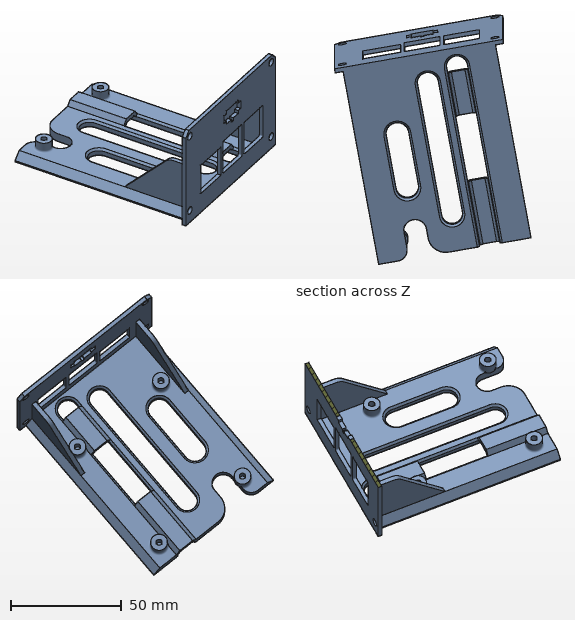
import cadquery as cq
import math

LENGTH = 93.0
PANEL_THICKNESS = 1.95
PLATE_LENGTH = LENGTH - PANEL_THICKNESS
PLATE_WIDTH = 70.1
PLATE_THICKNESS = 4.3
PLATE_EDGE_BEVEL = 3.5

PANEL_WIDTH = 77.4
PANEL_HEIGHT = 50.7
PANEL_CORNER_BEVEL = 2.8
SCREW_HOLE_DIAMETER = 3.6
SCREW_HOLE_SPACING = 70.1
SCREW_HOLE_HEIGHTS = (6.4, 47.0)

WINDOW_SILL = 10.3
ROUNDED_WINDOW_WIDTH = 16.4
ROUNDED_WINDOW_HEIGHT = 17.4
ROUNDED_WINDOW_CENTRES_Y = (19.7, 1.6)
WINDOW_CORNER_RADIUS = 0.7
SQUARE_WINDOW_WIDTH = 17.5
SQUARE_WINDOW_HEIGHT = 15.3
SQUARE_WINDOW_CENTRE_Y = -17.0

CONNECTOR_CENTRE_Y = 1.6
CONNECTOR_CENTRE_Z = 39.1
CONNECTOR_BODY = (9.95, 7.2)
CONNECTOR_EARS = (14.3, 4.0)
CONNECTOR_KEY_WIDTH = 1.6
CONNECTOR_KEY_DEPTH = 1.5

GUSSET_THICKNESS = 2.2
GUSSET_LENGTH = 34.9
GUSSET_HEIGHT = 23.4
GUSSET_CORNER_RADIUS = 6.0

SLOT_BEVEL = 1.0
NARROW_SLOT_WIDTH = 9.5
WIDE_SLOT_WIDTH = 10.2
BRIDGED_SLOT_Y = 16.1
BRIDGED_SLOT_END_X = 88.9
MIDDLE_SLOT_Y = 1.8
MIDDLE_SLOT_X = (12.2, 83.7)
SHORT_SLOT_Y = -16.0
SHORT_SLOT_X = (27.7, 63.15)

NOTCH_DEPTH = 17.7
NOTCH_INNER_ROUND = 8.2
NOTCH_OUTER_ROUND = 5.0

BRIDGE_SPANS_X = ((0, 29.9), (60.8, 81.2))
BRIDGE_RISE = 2.5
BRIDGE_TOP_WIDTH = 7.4
BRIDGE_HOLLOW_BASE_WIDTH = 8.8
BRIDGE_HOLLOW_RISE = 1.3

POST_DIAMETER = 7.6
POST_HEIGHT = 5.0
POST_HOLE_DIAMETER = 2.8
POST_FILLET = 1.0
POST_X = (8.5, 66.6)
POST_Y = (25.0, -23.9)


def box(x_span, y_span, z_span):
    """Axis-aligned box between pairs of limits."""
    size = [span[1] - span[0] for span in (x_span, y_span, z_span)]
    corner = (x_span[0], y_span[0], z_span[0])
    return cq.Workplane("XY").box(*size, centered=False).translate(corner)


def extrude_along_x(outline, x_start, x_end):
    """Prism along X from a closed list of (Y, Z) points."""
    return cq.Workplane("YZ").workplane(offset=x_start).polyline(outline).close().extrude(x_end - x_start)


def base_plate():
    half = PLATE_WIDTH / 2
    top_half = half - PLATE_EDGE_BEVEL
    bevel_start = PLATE_THICKNESS - PLATE_EDGE_BEVEL
    outline = [
        (-half, 0),
        (half, 0),
        (half, bevel_start),
        (top_half, PLATE_THICKNESS),
        (-top_half, PLATE_THICKNESS),
        (-half, bevel_start),
    ]
    return extrude_along_x(outline, 0, PLATE_LENGTH)


def slot_cutter(x_start, x_end, y, width):
    """Round-ended slot that widens by the bevel at both plate faces."""
    middle = (x_start + x_end) / 2

    def layer(z, slot_width, height, taper=0):
        length = x_end - x_start - width + slot_width
        plane = cq.Workplane("XY", origin=(middle, y, z))
        return plane.slot2D(length, slot_width).extrude(height, taper=taper)

    wide = width + 2 * SLOT_BEVEL
    lower = layer(0, wide, SLOT_BEVEL, taper=45)
    upper = layer(PLATE_THICKNESS, wide, -SLOT_BEVEL, taper=45)
    return layer(0, width, PLATE_THICKNESS).union(lower).union(upper)


def front_notch(height):
    """Round-ended notch whose two mouth corners are rounded outward."""
    radius = WIDE_SLOT_WIDTH / 2
    inner_wall = SHORT_SLOT_Y + radius
    outer_wall = SHORT_SLOT_Y - radius
    straight_end = NOTCH_DEPTH - radius
    diagonal = 1 - math.sqrt(0.5)
    return (
        cq.Workplane("XY")
        .moveTo(0, inner_wall + NOTCH_INNER_ROUND)
        .threePointArc(
            (NOTCH_INNER_ROUND * diagonal, inner_wall + NOTCH_INNER_ROUND * diagonal),
            (NOTCH_INNER_ROUND, inner_wall),
        )
        .lineTo(straight_end, inner_wall)
        .threePointArc((NOTCH_DEPTH, SHORT_SLOT_Y), (straight_end, outer_wall))
        .lineTo(NOTCH_OUTER_ROUND, outer_wall)
        .threePointArc(
            (NOTCH_OUTER_ROUND * diagonal, outer_wall - NOTCH_OUTER_ROUND * diagonal),
            (0, outer_wall - NOTCH_OUTER_ROUND),
        )
        .close()
        .extrude(height)
    )


def bridge(x_start, x_end):
    """Hollow trapezoidal bridge seated on the upper bevels of the slot."""
    seat_half = NARROW_SLOT_WIDTH / 2
    base_half = seat_half + SLOT_BEVEL
    top_half = BRIDGE_TOP_WIDTH / 2
    hollow_half = BRIDGE_HOLLOW_BASE_WIDTH / 2
    hollow_top_half = hollow_half - BRIDGE_HOLLOW_RISE
    seat = PLATE_THICKNESS - SLOT_BEVEL
    half_profile = [
        (hollow_top_half, seat + BRIDGE_HOLLOW_RISE),
        (hollow_half, seat),
        (seat_half, seat),
        (base_half, PLATE_THICKNESS),
        (top_half, PLATE_THICKNESS + BRIDGE_RISE),
    ]
    right_side = [(BRIDGED_SLOT_Y + y, z) for y, z in half_profile]
    left_side = [(BRIDGED_SLOT_Y - y, z) for y, z in reversed(half_profile)]
    return extrude_along_x(right_side + left_side, x_start, x_end)


def panel():
    sheet = (
        box((PLATE_LENGTH, LENGTH), (-PANEL_WIDTH / 2, PANEL_WIDTH / 2), (0, PANEL_HEIGHT))
        .edges("|X and >Z")
        .chamfer(PANEL_CORNER_BEVEL)
    )
    return sheet.cut(screw_holes()).cut(windows()).cut(connector_opening())


def panel_opening(width, height, y, z):
    """Rectangular cutter through the panel, centred on (y, z)."""
    return box(
        (PLATE_LENGTH, LENGTH),
        (y - width / 2, y + width / 2),
        (z - height / 2, z + height / 2),
    )


def screw_holes():
    side = SCREW_HOLE_SPACING / 2
    centres = [(y, z) for y in (-side, side) for z in SCREW_HOLE_HEIGHTS]
    return (
        cq.Workplane("YZ")
        .workplane(offset=PLATE_LENGTH)
        .pushPoints(centres)
        .circle(SCREW_HOLE_DIAMETER / 2)
        .extrude(PANEL_THICKNESS)
    )


def windows():
    cutter = panel_opening(
        SQUARE_WINDOW_WIDTH,
        SQUARE_WINDOW_HEIGHT,
        SQUARE_WINDOW_CENTRE_Y,
        WINDOW_SILL + SQUARE_WINDOW_HEIGHT / 2,
    )
    for y in ROUNDED_WINDOW_CENTRES_Y:
        window = panel_opening(
            ROUNDED_WINDOW_WIDTH,
            ROUNDED_WINDOW_HEIGHT,
            y,
            WINDOW_SILL + ROUNDED_WINDOW_HEIGHT / 2,
        )
        cutter = cutter.union(window.edges("|X").fillet(WINDOW_CORNER_RADIUS))
    return cutter


def connector_opening():
    key_height = CONNECTOR_BODY[1] / 2 + CONNECTOR_KEY_DEPTH
    body = panel_opening(*CONNECTOR_BODY, CONNECTOR_CENTRE_Y, CONNECTOR_CENTRE_Z)
    ears = panel_opening(*CONNECTOR_EARS, CONNECTOR_CENTRE_Y, CONNECTOR_CENTRE_Z)
    key = panel_opening(
        CONNECTOR_KEY_WIDTH,
        key_height,
        CONNECTOR_CENTRE_Y,
        CONNECTOR_CENTRE_Z - key_height / 2,
    )
    return body.union(ears).union(key)


def gusset(y_start):
    """Web with a 45 degree front edge, rounded where it meets the level top."""
    start_x = PLATE_LENGTH - GUSSET_LENGTH
    top = PLATE_THICKNESS + GUSSET_HEIGHT
    web = (
        cq.Workplane("XZ", origin=(0, y_start, 0))
        .moveTo(start_x, PLATE_THICKNESS)
        .lineTo(start_x + GUSSET_HEIGHT, top)
        .lineTo(PLATE_LENGTH, top)
        .lineTo(PLATE_LENGTH, PLATE_THICKNESS)
        .close()
        .extrude(-GUSSET_THICKNESS)
    )
    corner = cq.selectors.NearestToPointSelector((start_x + GUSSET_HEIGHT, y_start, top))
    return web.edges("|Y").edges(corner).fillet(GUSSET_CORNER_RADIUS)


def post(x, y):
    """Plain cylindrical standoff on the plate."""
    plane = cq.Workplane("XY", origin=(x, y, PLATE_THICKNESS))
    return plane.circle(POST_DIAMETER / 2).extrude(POST_HEIGHT)


def post_foot(x, y):
    """Disc with a concave flank that blends a standoff into the plate, trimmed at the notch."""
    radius = POST_DIAMETER / 2
    diagonal = POST_FILLET * (1 - math.sqrt(0.5))
    foot = (
        cq.Workplane("XZ")
        .moveTo(0, 0)
        .lineTo(radius + POST_FILLET, 0)
        .threePointArc((radius + diagonal, diagonal), (radius, POST_FILLET))
        .lineTo(0, POST_FILLET)
        .close()
        .revolve(360, (0, 0, 0), (0, 1, 0))
        .translate((x, y, PLATE_THICKNESS))
    )
    return foot.cut(front_notch(PLATE_THICKNESS + POST_FILLET))


def post_hole(x, y):
    """Blind hole as deep as the standoff is tall."""
    plane = cq.Workplane("XY", origin=(x, y, PLATE_THICKNESS))
    return plane.circle(POST_HOLE_DIAMETER / 2).extrude(POST_HEIGHT)


result = base_plate()

result = result.cut(slot_cutter(-NARROW_SLOT_WIDTH, BRIDGED_SLOT_END_X, BRIDGED_SLOT_Y, NARROW_SLOT_WIDTH))
result = result.cut(slot_cutter(*MIDDLE_SLOT_X, MIDDLE_SLOT_Y, NARROW_SLOT_WIDTH))
result = result.cut(slot_cutter(*SHORT_SLOT_X, SHORT_SLOT_Y, WIDE_SLOT_WIDTH))
result = result.cut(front_notch(PLATE_THICKNESS))

for x_start, x_end in BRIDGE_SPANS_X:
    result = result.union(bridge(x_start, x_end))

result = result.union(panel())
plate_top_half = PLATE_WIDTH / 2 - PLATE_EDGE_BEVEL
for y_start in (-plate_top_half, plate_top_half - GUSSET_THICKNESS):
    result = result.union(gusset(y_start))

post_centres = [(x, y) for x in POST_X for y in POST_Y]
for x, y in post_centres:
    result = result.union(post_foot(x, y)).union(post(x, y))
for x, y in post_centres:
    result = result.cut(post_hole(x, y))